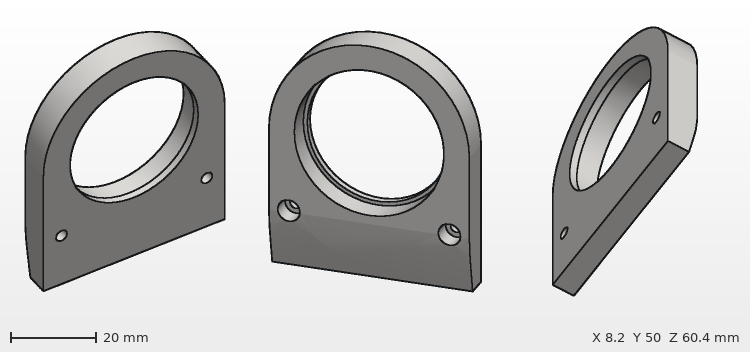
import cadquery as cq
import math

thickness = 8.2
width = 50.0
height = 60.35
outer_radius = width / 2
center_z = height - outer_radius
front_x = -thickness / 2

bore_diameter = 37.25
lip_diameter = 35.25
lip_thickness = 2.0

hole_spacing = 40.0
hole_z = 14.85
hole_diameter = 3.0
counterbore_diameter = 5.5
counterbore_depth = 5.0

relief_top_z = 14.55
relief_bottom_depth = 2.3
relief_top_angle = 2.0
relief_bottom_angle = 9.5


def plate():
    return (
        cq.Workplane("YZ", origin=(front_x, 0, 0))
        .moveTo(-outer_radius, 0)
        .lineTo(outer_radius, 0)
        .lineTo(outer_radius, center_z)
        .threePointArc((0, height), (-outer_radius, center_z))
        .close()
        .extrude(thickness)
    )


def front_cylinder(diameter, depth, y, z):
    """Cylinder running from the front face along +X."""
    return cq.Workplane("YZ", origin=(front_x, y, z)).circle(diameter / 2).extrude(depth)


def upward_direction(angle):
    """Direction in the XZ plane leaning toward -X from vertical by the angle."""
    lean = math.radians(angle)
    return (-math.sin(lean), math.cos(lean))


def lower_relief():
    return (
        cq.Workplane("XZ", origin=(0, width / 2, 0))
        .moveTo(front_x, 0)
        .lineTo(front_x + relief_bottom_depth, 0)
        .spline(
            [(front_x, relief_top_z)],
            tangents=[upward_direction(relief_bottom_angle), upward_direction(relief_top_angle)],
            includeCurrent=True,
        )
        .close()
        .extrude(width)
    )


result = plate().cut(lower_relief())

result = result.cut(front_cylinder(lip_diameter, thickness, 0, center_z))
result = result.cut(front_cylinder(bore_diameter, thickness - lip_thickness, 0, center_z))

for hole_y in (-hole_spacing / 2, hole_spacing / 2):
    result = result.cut(front_cylinder(hole_diameter, thickness, hole_y, hole_z))
    result = result.cut(front_cylinder(counterbore_diameter, counterbore_depth, hole_y, hole_z))